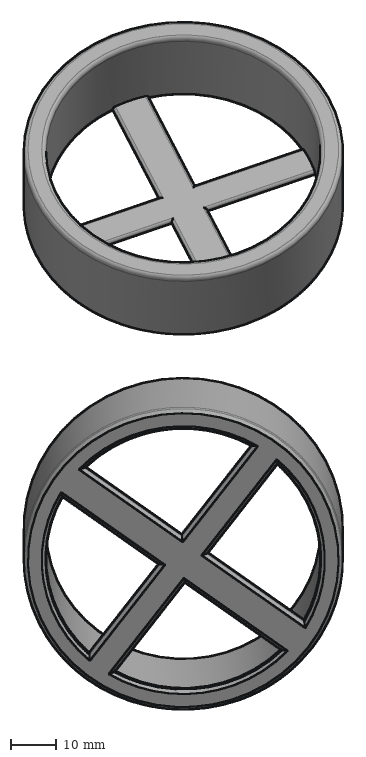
import cadquery as cq

outer_diameter = 70.5
bore_diameter = 60.5
height = 22.0
rim_radius = 1.0

x_spoke_width = 8.6
y_spoke_width = 7.2
spoke_thickness = 2.0
spoke_edge_radius = 0.7
spoke_length = (outer_diameter + bore_diameter) / 2

base_chamfer = 1.0
base_blend_radius = 0.6


def edges_at_height(solid, z):
    """Select the edges lying in the horizontal plane at height z."""
    reach = outer_diameter
    tolerance = 0.01
    slab = cq.selectors.BoxSelector(
        (-reach, -reach, z - tolerance), (reach, reach, z + tolerance), boundingbox=True
    )
    return solid.edges(slab)


def finish_edges(solid, edge_kind, top_radius):
    """Chamfer and blend the underside edges of one kind, and round those on top."""
    chamfered = solid.faces("<Z").edges(edge_kind).chamfer(base_chamfer)
    blended = edges_at_height(chamfered, base_chamfer).edges(edge_kind).fillet(base_blend_radius)
    return blended.faces(">Z").edges(edge_kind).fillet(top_radius)


def make_ring():
    """Ring with finished edges both outside and in the bore."""
    ring = cq.Workplane("XY").circle(outer_diameter / 2).circle(bore_diameter / 2).extrude(height)
    return finish_edges(ring, "%CIRCLE", rim_radius)


def make_spoke(width):
    """Flat bar along X with finished long edges."""
    bar = cq.Workplane("XY").rect(spoke_length, width).extrude(spoke_thickness)
    return finish_edges(bar, "|X", spoke_edge_radius)


x_spoke = make_spoke(x_spoke_width)
y_spoke = make_spoke(y_spoke_width).rotate((0, 0, 0), (0, 0, 1), 90)
result = make_ring().union(x_spoke).union(y_spoke)